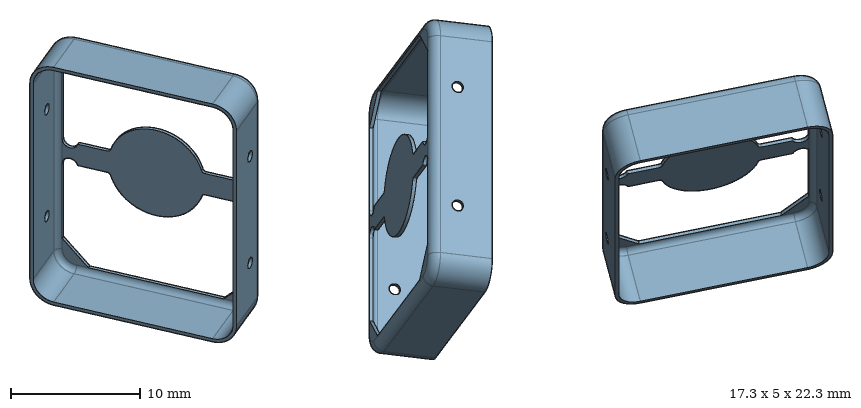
import cadquery as cq

WIDTH = 17.3
DEPTH = 5.0
HEIGHT = 22.3
WALL = 0.3
CORNER_RADIUS = 2.0
FLOOR_EDGE_RADIUS = 0.8

WINDOW_WIDTH = WIDTH - 2 * FLOOR_EDGE_RADIUS
WINDOW_HEIGHT = HEIGHT - 2 * FLOOR_EDGE_RADIUS
GUSSET_LEG = 2.2

DISC_RADIUS = 4.0
ARM_HEIGHT = 2.0
NECK_HEIGHT = 1.0
NOTCH_RADIUS = 0.65
DISC_ARM_FILLET = 0.25
NOTCH_TIP_FILLET = 0.05

PIN_HOLE_DIAMETER = 0.9
PIN_HOLE_SPACING = 10.0
PIN_HOLE_FROM_FLOOR = 2.2


def rounded_block(inset):
    """Block with rounded corners and rounded +Y edge, inset from the outer faces."""
    block = (
        cq.Workplane("XY")
        .box(WIDTH - 2 * inset, DEPTH - inset, HEIGHT - 2 * inset, centered=(True, False, True))
        .edges("|Y")
        .fillet(CORNER_RADIUS - inset)
    )
    return block.faces(">Y").edges().fillet(FLOOR_EDGE_RADIUS - inset)


def floor_plane():
    """Sketch plane on the outer floor face; extruding goes toward -Y, into the floor."""
    return cq.Workplane("XZ", origin=(0, DEPTH, 0))


def make_window():
    """Cutter for the floor window, with its corners cut off to leave gussets."""
    return (
        floor_plane()
        .rect(WINDOW_WIDTH, WINDOW_HEIGHT)
        .extrude(WALL)
        .edges("|Y")
        .chamfer(GUSSET_LEG)
    )


def arm_edges(body, x_min, x_max):
    """Edges along Y, near the arms, whose distance from the centre in X is x_min to x_max."""
    right = cq.selectors.BoxSelector((x_min, 0, -ARM_HEIGHT), (x_max, DEPTH, ARM_HEIGHT))
    left = cq.selectors.BoxSelector((-x_max, 0, -ARM_HEIGHT), (-x_min, DEPTH, ARM_HEIGHT))
    return body.edges("|Y").edges(right + left)


def make_disc_and_arms():
    """Disc with an arm to each side of the window, notched to a neck at the outer end."""
    notch_x = WINDOW_WIDTH / 2 - NOTCH_RADIUS
    notch_z = NECK_HEIGHT / 2 + NOTCH_RADIUS
    disc = floor_plane().circle(DISC_RADIUS).extrude(WALL)
    arms = floor_plane().rect(WINDOW_WIDTH, ARM_HEIGHT).extrude(WALL)
    root_x = notch_x + NOTCH_RADIUS / 2
    root_centres = [(-root_x, 0), (root_x, 0)]
    roots = floor_plane().pushPoints(root_centres).rect(NOTCH_RADIUS, 2 * notch_z).extrude(WALL)
    notch_centres = [(sx * notch_x, sz * notch_z) for sx in (-1, 1) for sz in (-1, 1)]
    notches = floor_plane().pushPoints(notch_centres).circle(NOTCH_RADIUS).extrude(WALL)

    body = disc.union(arms)
    body = arm_edges(body, DISC_RADIUS / 2, DISC_RADIUS).fillet(DISC_ARM_FILLET)
    body = body.union(roots).cut(notches)
    notch_inner_x = notch_x - NOTCH_RADIUS
    return arm_edges(body, notch_inner_x, notch_x).fillet(NOTCH_TIP_FILLET)


def make_pin_holes():
    """Cutter for the pin holes, running along X through both side walls."""
    return (
        cq.Workplane("YZ", origin=(-WIDTH / 2, DEPTH - PIN_HOLE_FROM_FLOOR, 0))
        .rarray(1, PIN_HOLE_SPACING, 1, 2)
        .circle(PIN_HOLE_DIAMETER / 2)
        .extrude(WIDTH)
    )


tray = rounded_block(0).cut(rounded_block(WALL))
result = tray.cut(make_window()).union(make_disc_and_arms()).cut(make_pin_holes())